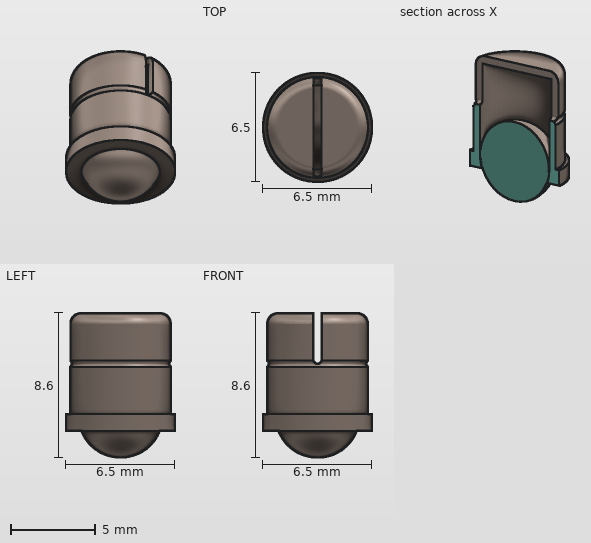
import cadquery as cq
import math

total_height = 8.6
ball_radius = 2.5
body_radius = 3.0
flange_radius = 3.25
flange_bottom = 1.6
flange_thickness = 1.0
crown_fillet = 0.65
slot_width = 0.5
slot_bottom = 5.59
groove_depth = 0.095
groove_half_height = 0.19

wall_thickness = body_radius - ball_radius
bore_top = total_height - wall_thickness
flange_top = flange_bottom + flange_thickness
ball_center = ball_radius
slot_radius = slot_width / 2
groove_center = slot_bottom


def make_shell():
    """Outer form: flange, cylindrical body with a shallow arc groove, rounded crown."""
    outline = (
        cq.Workplane("XZ")
        .moveTo(0, flange_bottom)
        .lineTo(flange_radius, flange_bottom)
        .lineTo(flange_radius, flange_top)
        .lineTo(body_radius, flange_top)
        .lineTo(body_radius, groove_center - groove_half_height)
        .threePointArc(
            (body_radius - groove_depth, groove_center),
            (body_radius, groove_center + groove_half_height),
        )
        .lineTo(body_radius, total_height)
        .lineTo(0, total_height)
        .close()
    )
    shell = outline.revolve(360, (0, 0), (0, 1))
    return shell.faces(">Z").edges().fillet(crown_fillet)


def make_cavity():
    """Straight bore above the ball's equator, closing in around the ball at the mouth."""
    mouth_drop = ball_center - flange_bottom
    mouth_radius = math.sqrt(ball_radius**2 - mouth_drop**2)
    mid_angle = math.asin(mouth_drop / ball_radius) / 2
    seat_middle = (
        ball_radius * math.cos(mid_angle),
        ball_center - ball_radius * math.sin(mid_angle),
    )
    return (
        cq.Workplane("XZ")
        .moveTo(0, flange_bottom)
        .lineTo(mouth_radius, flange_bottom)
        .threePointArc(seat_middle, (ball_radius, ball_center))
        .lineTo(ball_radius, bore_top)
        .lineTo(0, bore_top)
        .close()
        .revolve(360, (0, 0), (0, 1))
    )


def make_slot():
    """Round-bottomed slot running along Y across the whole crown."""
    return (
        cq.Workplane("XZ")
        .moveTo(-slot_radius, total_height)
        .lineTo(-slot_radius, slot_bottom + slot_radius)
        .threePointArc((0, slot_bottom), (slot_radius, slot_bottom + slot_radius))
        .lineTo(slot_radius, total_height)
        .close()
        .extrude(body_radius, both=True)
    )


def make_housing():
    return make_shell().cut(make_cavity()).cut(make_slot())


def make_ball():
    return cq.Workplane("XY").sphere(ball_radius).translate((0, 0, ball_center))


housing = make_housing()
ball = make_ball()

result = cq.Compound.makeCompound([housing.solids().val(), ball.val()])